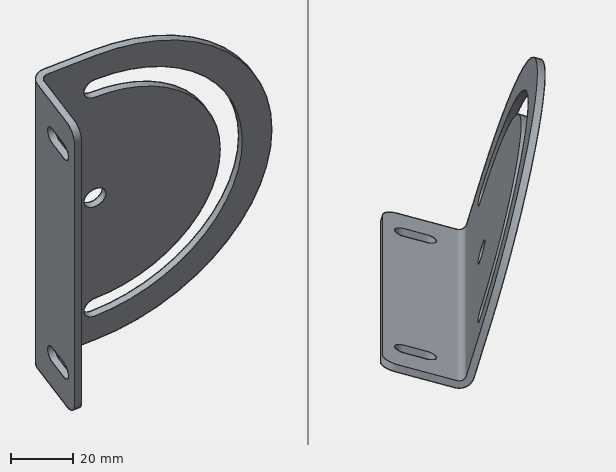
import cadquery as cq

height = 130.0
flange_width = 30.0
sheet = 2.6
bend_radius = 5.1
inner_bend_radius = bend_radius - sheet
corner_radius = 5.1

plate_radius = height / 2
pivot_y = 22.5
depth = pivot_y + plate_radius
pivot_diameter = 8.0
arc_slot_radius = 50.0
arc_slot_width = 8.0

slot_length = 14.0
slot_width = 6.5
slot_x = 19.0
slot_spacing = 2 * arc_slot_radius


def bent_sheet():
    """L-shaped sheet with a rounded bend, standing along Z about Z = 0."""
    outer = cq.Workplane("XY").box(flange_width, depth, height, centered=(False, False, True))
    outer = outer.edges("|Z and <X and <Y").fillet(bend_radius)
    inner = (
        cq.Workplane("XY")
        .box(flange_width, depth, height, centered=(False, False, True))
        .edges("|Z and <X and <Y")
        .fillet(inner_bend_radius)
        .translate((sheet, sheet, 0))
    )
    return outer.cut(inner)


def plate_envelope():
    """Straight-sided outline that ends in a half circle, seen along X."""
    return (
        cq.Workplane("YZ")
        .moveTo(0, -plate_radius)
        .lineTo(pivot_y, -plate_radius)
        .threePointArc((depth, 0), (pivot_y, plate_radius))
        .lineTo(0, plate_radius)
        .close()
        .extrude(flange_width)
    )


def arc_slot():
    """Half-circle slot around the pivot, with round ends."""
    outer_radius = arc_slot_radius + arc_slot_width / 2
    inner_radius = arc_slot_radius - arc_slot_width / 2
    end_y = pivot_y - arc_slot_width / 2
    return (
        cq.Workplane("YZ")
        .moveTo(pivot_y, -outer_radius)
        .threePointArc((pivot_y + outer_radius, 0), (pivot_y, outer_radius))
        .threePointArc((end_y, arc_slot_radius), (pivot_y, inner_radius))
        .threePointArc((pivot_y + inner_radius, 0), (pivot_y, -inner_radius))
        .threePointArc((end_y, -arc_slot_radius), (pivot_y, -outer_radius))
        .close()
        .extrude(sheet)
    )


def pivot_hole():
    return cq.Workplane("YZ").center(pivot_y, 0).circle(pivot_diameter / 2).extrude(sheet)


def flange_slots():
    """Two straight slots through the flange, level with the curved slot's ends."""
    return (
        cq.Workplane("XZ")
        .pushPoints([(slot_x, side * slot_spacing / 2) for side in (-1, 1)])
        .slot2D(slot_length, slot_width)
        .extrude(-sheet)
    )


bracket = bent_sheet().intersect(plate_envelope())
bracket = bracket.edges("|Y and >X").fillet(corner_radius)
result = bracket.cut(arc_slot()).cut(pivot_hole()).cut(flange_slots())